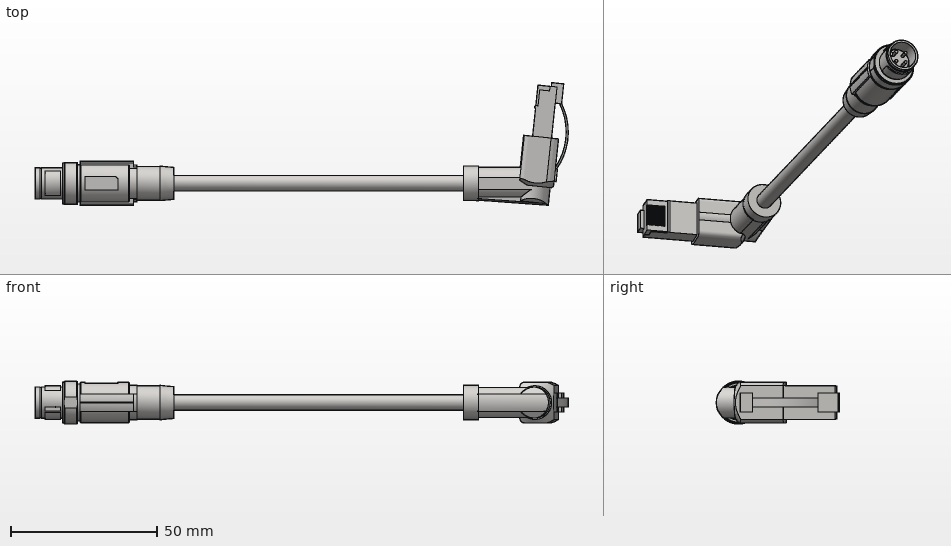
import cadquery as cq
import math

OVERLAP = 0.5

NOSE_END = 9.3
NOSE_RADIUS = 5.4
TIP_GROOVE_X = 1.7
TIP_GROOVE_WIDTH = 0.4
TIP_GROOVE_DEPTH = 0.2
SHOULDER_RADIUS = 7.0
RING_START = 9.9
RING_END = 14.5
RING_RADIUS = 7.395
RING_CHAMFER = 0.25
RING_FLAT_HALF_WIDTH = 1.9
NECK_RADIUS = 6.4
BODY_START = 15.4
BODY_END = 32.3
BODY_RADIUS = 7.0
BODY_CHAMFER = 0.3
SLEEVE_RADIUS = 5.8
NUT_START = 42.8
NUT_END = 47.5
NUT_RADIUS = 5.95
NUT_END_RADIUS = 5.5

PAD_START = 3.4
PAD_END = 8.7
PAD_RADIUS = 5.85
UPPER_PAD_BASE = 4.1
LOWER_PAD_BASE = 3.4
NOTCH_FACE = 4.6
NOTCH_TOP = -1.5
NOTCH_BOTTOM = -3.4

BORE_RADIUS = 4.6
BORE_DEPTH = 7.0
PIN_RADIUS = 0.5
PIN_OFFSET = 1.7
PIN_TIP = 2.0
KEY_WIDTH = 1.3
KEY_START = 0.5
KEY_INNER_Y = 3.6
INSERT_RADIUS = 3.9
INSERT_FACE = 5.5

GRIP_RADIUS = 7.62
GRIP_HALF_WIDTH = 3.0
GRIP_END = 33.7
GRIP_FOOT_END = 34.8
GRIP_FOOT_RADIUS = 6.3
COLLAR_RADIUS = 5.95
SEAM_WIDTH = 0.4
SEAM_DEPTH = 0.3
LABEL_START = 17.1
LABEL_END = 28.4
LABEL_HALF_WIDTH = 2.3
LABEL_CORNER = 0.8
LABEL_FLOOR = 6.45

CABLE_RADIUS = 2.7
BOOT_NUT_START = 146.6
BOOT_NUT_END = 151.8
BOOT_RADIUS = 5.6
BOOT_HALF_HEIGHT = 5.2

PIVOT_X = 171.2
TILT = -6.0
ELBOW_RADIUS = 5.3
ELBOW_BOTTOM = -6.5
SPINE_HALF_WIDTH = 3.0
SPINE_EDGE = -6.6
SPINE_BOTTOM = -7.2
SPINE_TURN = 1.8
SPINE_LENGTH = 19.3
BEVEL_TOP = -5.2
CONE_START = -1.3
CONE_SLOPE = 1.2
HOOD_START = -0.9
HOOD_END = 16.0
HOOD_LEFT = -5.4
HOOD_RIGHT = 6.4
HOOD_HALF_HEIGHT = 7.0
HOOD_LEFT_ROUND = 1.6
HOOD_RIGHT_BEVEL = 2.6
HOOD_RIGHT_MID_BEVEL = 1.4
HOOD_RIGHT_MID_HALF_HEIGHT = 6.6
HOOD_RIGHT_HALF_FLAT = 5.8
RIB_HALF_WIDTH = 1.4
RIB_HEIGHT = 0.3

JACK_LEFT = -2.6
JACK_RIGHT = 4.0
JACK_END = 33.6
JACK_HALF_HEIGHT = 5.8
JACK_RIDGE_V = 25.6
JACK_RIDGE_WIDTH = 0.8
JACK_RIDGE_HEIGHT = 0.3
JACK_STEP_V = 26.5
JACK_STEP_DEPTH = 0.2
JACK_STEP_SIDE = 0.8
JACK_STEP_END = 1.6
JACK_STEP_LENGTH = 4.2
CONTACT_COUNT = 8
CONTACT_PITCH = 0.95
CONTACT_SLOT_WIDTH = 0.6
CONTACT_SLOT_START = 27.4
CONTACT_SLOT_DEPTH = 0.7

LEVER_THICKNESS = 0.8
LEVER_HALF_WIDTH = 1.6
LEVER_FOOT = (6.0, 5.0)
LEVER_BELLY = (9.15, 17.8)
LEVER_TIP = (5.5, 28.5)
LEVER_BASE_RIGHT = 7.1
LEVER_BASE_START = 1.3
LEVER_BASE_END = 5.6
LATCH_END = 34.94
LATCH_LEFT = 2.0
LATCH_RIGHT = 6.2
LATCH_HALF_WIDTH = 3.3


def rod(start, end, radius):
    """Cylinder along X."""
    return cq.Workplane("YZ", origin=(start, 0, 0)).circle(radius).extrude(end - start)


def block(x0, x1, y0, y1, z0, z1):
    """Box given by its limits on each axis."""
    return cq.Workplane("XY").box(x1 - x0, y1 - y0, z1 - z0, centered=False).translate((x0, y0, z0))


def nut(start, end, start_radius, end_radius):
    """Clamping nut that narrows from one end to the other."""
    return (
        cq.Workplane("YZ", origin=(start, 0, 0))
        .circle(start_radius)
        .workplane(offset=end - start)
        .circle(end_radius)
        .loft()
    )


def nose():
    """Front of the round plug with its snap pads, notch, tip groove and contact socket."""
    shape = rod(0, NOSE_END, NOSE_RADIUS)
    pad_rod = rod(PAD_START, PAD_END, PAD_RADIUS)
    for low, high in ((UPPER_PAD_BASE, PAD_RADIUS), (-PAD_RADIUS, -LOWER_PAD_BASE)):
        shape = shape.union(pad_rod.intersect(block(0, NOSE_END, -PAD_RADIUS, PAD_RADIUS, low, high)))
    shape = shape.cut(block(PAD_START, PAD_END, -PAD_RADIUS, -NOTCH_FACE, NOTCH_BOTTOM, NOTCH_TOP))

    groove_end = TIP_GROOVE_X + TIP_GROOVE_WIDTH
    groove = rod(TIP_GROOVE_X, groove_end, PAD_RADIUS)
    groove = groove.cut(rod(TIP_GROOVE_X, groove_end, NOSE_RADIUS - TIP_GROOVE_DEPTH))
    shape = shape.cut(groove).cut(rod(0, BORE_DEPTH, BORE_RADIUS))

    insert = rod(INSERT_FACE, BORE_DEPTH + OVERLAP, INSERT_RADIUS)
    key = block(
        KEY_START, BORE_DEPTH, KEY_INNER_Y, BORE_RADIUS + TIP_GROOVE_DEPTH, -KEY_WIDTH / 2, KEY_WIDTH / 2
    )
    shape = shape.union(insert).union(key)
    for y in (-PIN_OFFSET, PIN_OFFSET):
        for z in (-PIN_OFFSET, PIN_OFFSET):
            shape = shape.union(rod(PIN_TIP, BORE_DEPTH + OVERLAP, PIN_RADIUS).translate((0, y, z)))
    return shape


def locking_ring():
    """Ring behind the nose, with a narrow flat on each side."""
    shoulder = rod(NOSE_END, RING_START, SHOULDER_RADIUS)
    ring = rod(RING_START, RING_END, RING_RADIUS).edges().chamfer(RING_CHAMFER)
    flat_y = math.sqrt(RING_RADIUS**2 - RING_FLAT_HALF_WIDTH**2)
    ring = ring.intersect(block(RING_START, RING_END, -flat_y, flat_y, -RING_RADIUS, RING_RADIUS))
    return shoulder.union(ring).union(rod(RING_END, BODY_START, NECK_RADIUS))


def grip_body():
    """Cylindrical body with side grip ribs, seams and a label pocket."""
    shape = rod(BODY_START, BODY_END, BODY_RADIUS).faces("<X or >X").edges().chamfer(BODY_CHAMFER)
    grips = rod(BODY_START, GRIP_END, GRIP_RADIUS)
    grips = grips.union(rod(GRIP_END, GRIP_FOOT_END, GRIP_FOOT_RADIUS))
    grips = grips.intersect(
        block(BODY_START, GRIP_FOOT_END, -GRIP_RADIUS, GRIP_RADIUS, -GRIP_HALF_WIDTH, GRIP_HALF_WIDTH)
    )
    shape = shape.union(grips)

    seam_y = GRIP_RADIUS - SEAM_DEPTH
    for low, high in ((-GRIP_RADIUS, -seam_y), (seam_y, GRIP_RADIUS)):
        shape = shape.cut(block(BODY_START, GRIP_END, low, high, -SEAM_WIDTH / 2, SEAM_WIDTH / 2))

    label = block(LABEL_START, LABEL_END, -LABEL_HALF_WIDTH, LABEL_HALF_WIDTH, LABEL_FLOOR, BODY_RADIUS)
    label = label.edges("|Z and >X and >Y").chamfer(LABEL_CORNER)
    return shape.cut(label)


def straight_plug():
    """Complete round plug."""
    collar = rod(BODY_END, GRIP_FOOT_END, COLLAR_RADIUS)
    sleeve = collar.union(rod(GRIP_FOOT_END, NUT_START, SLEEVE_RADIUS))
    rear_nut = nut(NUT_START, NUT_END, NUT_RADIUS, NUT_END_RADIUS)
    return nose().union(locking_ring()).union(grip_body()).union(sleeve).union(rear_nut)


def boot():
    """Straight part of the angled boot: a nut and a rod flattened above and below."""
    boot_nut = nut(BOOT_NUT_START, BOOT_NUT_END, NUT_RADIUS, NUT_RADIUS)
    arm = rod(BOOT_NUT_END, PIVOT_X, BOOT_RADIUS)
    arm = arm.intersect(block(
        BOOT_NUT_END, PIVOT_X, -BOOT_RADIUS, BOOT_RADIUS, -BOOT_HALF_HEIGHT, BOOT_HALF_HEIGHT
    ))
    return boot_nut.union(arm)


def elbow():
    """Round end of the boot with a bevelled underside, and the spine that slopes toward it."""
    full_height = HOOD_START - SPINE_BOTTOM + 2 * OVERLAP
    cylinder = cq.Workplane("XZ", origin=(0, SPINE_BOTTOM - OVERLAP, 0)).circle(ELBOW_RADIUS)
    cylinder = cylinder.extrude(-full_height)
    bevelled_prism = (
        cq.Workplane("YZ", origin=(-ELBOW_RADIUS, 0, 0))
        .polyline([
            (HOOD_START + OVERLAP, -ELBOW_RADIUS),
            (BEVEL_TOP, -ELBOW_RADIUS),
            (ELBOW_BOTTOM, -SPINE_HALF_WIDTH),
            (ELBOW_BOTTOM, SPINE_HALF_WIDTH),
            (BEVEL_TOP, ELBOW_RADIUS),
            (HOOD_START + OVERLAP, ELBOW_RADIUS),
        ])
        .close()
        .extrude(2 * ELBOW_RADIUS)
    )
    spine = (
        cq.Workplane("YZ", origin=(-SPINE_LENGTH, 0, 0))
        .moveTo(-BOOT_HALF_HEIGHT / 2, -SPINE_HALF_WIDTH)
        .lineTo(SPINE_EDGE, -SPINE_HALF_WIDTH)
        .threePointArc((SPINE_BOTTOM, 0), (SPINE_EDGE, SPINE_HALF_WIDTH))
        .lineTo(-BOOT_HALF_HEIGHT / 2, SPINE_HALF_WIDTH)
        .close()
        .extrude(SPINE_LENGTH + 2 * ELBOW_RADIUS)
        .rotate((0, 0, 0), (0, 0, 1), SPINE_TURN)
    )
    outside_cylinder = block(
        0, 3 * ELBOW_RADIUS, 2 * SPINE_BOTTOM, -SPINE_BOTTOM, -ELBOW_RADIUS, ELBOW_RADIUS
    ).cut(cylinder)
    return cylinder.intersect(bevelled_prism).union(spine.cut(outside_cylinder))


def hood():
    """Bevelled block that carries the rectangular plug, in the tilted frame."""
    upper_right = [
        (HOOD_RIGHT - HOOD_RIGHT_BEVEL, HOOD_HALF_HEIGHT),
        (HOOD_RIGHT - HOOD_RIGHT_MID_BEVEL, HOOD_RIGHT_MID_HALF_HEIGHT),
        (HOOD_RIGHT, HOOD_RIGHT_HALF_FLAT),
    ]
    upper_half = [(HOOD_LEFT, HOOD_HALF_HEIGHT)] + upper_right
    lower_half = [(u, -z) for u, z in reversed(upper_half)]
    shape = (
        cq.Workplane("XZ", origin=(0, HOOD_START, 0))
        .polyline(upper_half + lower_half)
        .close()
        .extrude(HOOD_START - HOOD_END)
        .edges("|Y and <X")
        .fillet(HOOD_LEFT_ROUND)
    )

    rib = (
        cq.Workplane("XZ", origin=(0, HOOD_START, 0))
        .moveTo(HOOD_LEFT, -RIB_HALF_WIDTH)
        .threePointArc((HOOD_LEFT - RIB_HEIGHT, 0), (HOOD_LEFT, RIB_HALF_WIDTH))
        .lineTo(HOOD_LEFT + OVERLAP, RIB_HALF_WIDTH)
        .lineTo(HOOD_LEFT + OVERLAP, -RIB_HALF_WIDTH)
        .close()
        .extrude(HOOD_START - HOOD_END)
    )
    cone_height = HOOD_END - CONE_START
    cone = (
        cq.Workplane("XZ", origin=(0, CONE_START, 0))
        .circle(ELBOW_RADIUS)
        .workplane(offset=-cone_height)
        .circle(ELBOW_RADIUS + CONE_SLOPE * cone_height)
        .loft()
    )
    return shape.union(rib).intersect(cone)


def jack():
    """Rectangular plug with a cross ridge and a row of contact slots."""
    shape = block(JACK_LEFT, JACK_RIGHT, HOOD_END - OVERLAP, JACK_END, -JACK_HALF_HEIGHT, JACK_HALF_HEIGHT)
    ridge = block(
        JACK_LEFT - JACK_RIDGE_HEIGHT, JACK_LEFT, JACK_RIDGE_V, JACK_RIDGE_V + JACK_RIDGE_WIDTH,
        -JACK_HALF_HEIGHT, JACK_HALF_HEIGHT,
    )
    shape = shape.union(ridge)
    step_outline = (
        cq.Workplane("XY", origin=(0, 0, -JACK_HALF_HEIGHT))
        .polyline([
            (JACK_LEFT, JACK_STEP_V),
            (JACK_LEFT + JACK_STEP_SIDE, JACK_STEP_V),
            (JACK_LEFT + JACK_STEP_SIDE, JACK_END - JACK_STEP_END),
            (JACK_LEFT + JACK_STEP_LENGTH, JACK_END - JACK_STEP_END),
            (JACK_LEFT + JACK_STEP_LENGTH, JACK_END),
            (JACK_LEFT, JACK_END),
        ])
        .close()
    )
    lower_step = step_outline.extrude(JACK_STEP_DEPTH)
    shape = shape.cut(lower_step).cut(lower_step.mirror("XY"))
    for index in range(CONTACT_COUNT):
        slot_z = (index - (CONTACT_COUNT - 1) / 2) * CONTACT_PITCH
        shape = shape.cut(block(
            JACK_LEFT, JACK_LEFT + CONTACT_SLOT_DEPTH, CONTACT_SLOT_START, JACK_END,
            slot_z - CONTACT_SLOT_WIDTH / 2, slot_z + CONTACT_SLOT_WIDTH / 2,
        ))
    return shape


def latch():
    """Bowed release lever and its wide head beside the jack, in the tilted frame."""
    half = LEVER_THICKNESS / 2
    lever = (
        cq.Workplane("XY", origin=(0, 0, -LEVER_HALF_WIDTH))
        .moveTo(LEVER_FOOT[0] - half, LEVER_FOOT[1])
        .threePointArc((LEVER_BELLY[0] - half, LEVER_BELLY[1]), (LEVER_TIP[0] - half, LEVER_TIP[1]))
        .lineTo(LEVER_TIP[0] + half, LEVER_TIP[1])
        .threePointArc((LEVER_BELLY[0] + half, LEVER_BELLY[1]), (LEVER_FOOT[0] + half, LEVER_FOOT[1]))
        .close()
        .extrude(2 * LEVER_HALF_WIDTH)
    )
    head = block(
        LATCH_LEFT, LATCH_RIGHT, LEVER_TIP[1] - OVERLAP, LATCH_END, -LATCH_HALF_WIDTH, LATCH_HALF_WIDTH
    )
    base = block(
        HOOD_RIGHT - OVERLAP, LEVER_BASE_RIGHT, LEVER_BASE_START, LEVER_BASE_END,
        -LATCH_HALF_WIDTH, LATCH_HALF_WIDTH,
    )
    return lever.union(head).union(base)


def tilted_plug():
    """Everything in the tilted frame, turned into place."""
    shape = elbow().union(hood()).union(jack()).union(latch())
    return shape.rotate((0, 0, 0), (0, 0, 1), TILT).translate((PIVOT_X, 0, 0))


cable = rod(NUT_END - OVERLAP, BOOT_NUT_START + OVERLAP, CABLE_RADIUS)
result = straight_plug().union(cable).union(boot()).union(tilted_plug())